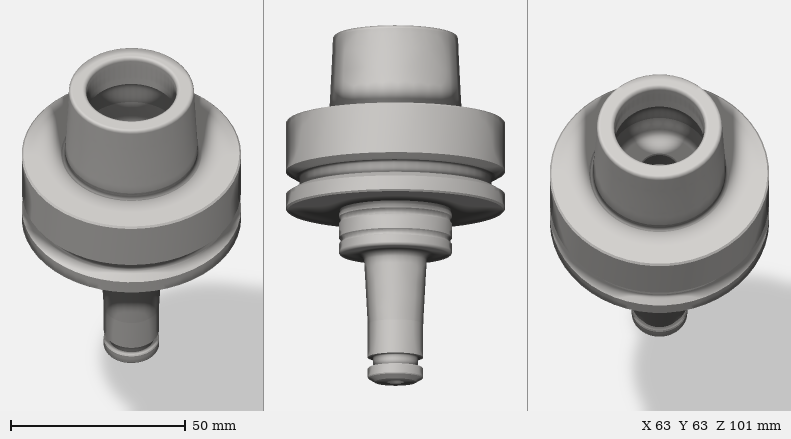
import cadquery as cq
import math

total_height = 101.0
flange_top_z = 76.0
flange_bottom_z = 50.1
boss_bottom_z = 37.1

taper_base_radius = 19.1
taper_base_z = 77.9
taper_slope = 1 / 20
taper_rim_fillet = 1.0
relief_radius = 38.0 / 2
relief_top_z = 77.2
relief_fillet = 0.7
recess_radius = 20.2
recess_rim_width = 0.4
recess_depth = 0.2

flange_radius = 63.0 / 2
flange_chamfer = 0.5
groove_floor_radius = 55.0 / 2
groove_ledge_radius = 28.8
groove_top_z = 59.8
groove_bottom_z = 56.2
groove_fillet = 0.5
groove_flank_angle = math.radians(30)
groove_flank_height = (flange_radius - groove_ledge_radius) * math.tan(groove_flank_angle)

boss_radius = 32.5 / 2
boss_fillet = 0.9
neck_radius = 32.0 / 2
neck_height = 1.2
ring_groove_heights = (47.1, 41.1)
ring_groove_width = 1.9
ring_groove_chamfer = 0.3
ring_groove_depth = 0.5

shank_radius = 16.0 / 2
shank_cone_bottom_z = 16.9
shank_cone_top_z = 35.2
shank_cone_top_radius = 9.0
shank_fillet = boss_bottom_z - shank_cone_top_z
pin_groove_radius = 13.0 / 2
pin_groove_bottom_z = 4.1
pin_groove_top_z = 7.2
pin_groove_fillet = 0.3
collar_chamfer = 0.3
foot_radius = 12.0 / 2
foot_cone_height = 1.1

bore_radius = 26.0 / 2
bore_mouth_fillet = 1.1
chamber_radius = 14.5
chamber_top_z = 91.0
chamber_cone_top_z = 82.5
chamber_cone_angle = math.radians(15)
chamber_floor_radius = 11.7
chamber_floor_fillet = 1.7
socket_radius = 11.4 / 2
socket_mouth_radius = 12.0 / 2
socket_depth = 5.0
drill_radius = 10.0 / 2
drill_depth = 10.1
drill_tip_angle = math.radians(118)
through_hole_radius = 5.0 / 2


def revolve(profile):
    """Close a half profile drawn in radius and height and turn it about the Z axis."""
    return profile.close().revolve(360, (0, 0, 0), (0, 1, 0))


def half_profile(bottom_z):
    return cq.Workplane("XZ").moveTo(0, bottom_z)


def make_taper():
    rim_z = total_height - taper_rim_fillet
    rim_radius = taper_base_radius - (rim_z - taper_base_z) * taper_slope
    return revolve(
        half_profile(flange_bottom_z)
        .lineTo(relief_radius, flange_bottom_z)
        .lineTo(relief_radius, relief_top_z)
        .lineTo(taper_base_radius, taper_base_z)
        .lineTo(rim_radius, rim_z)
        .radiusArc((rim_radius - taper_rim_fillet, total_height), -taper_rim_fillet)
        .lineTo(0, total_height)
    )


def make_flange():
    r = flange_radius
    floor = groove_floor_radius
    ledge = groove_ledge_radius
    fillet = groove_fillet
    recess_floor_z = flange_top_z - recess_depth
    return revolve(
        half_profile(flange_bottom_z)
        .lineTo(r - flange_chamfer, flange_bottom_z)
        .lineTo(r, flange_bottom_z + flange_chamfer)
        .lineTo(r, groove_bottom_z - groove_flank_height)
        .lineTo(ledge, groove_bottom_z)
        .lineTo(floor + fillet, groove_bottom_z)
        .radiusArc((floor, groove_bottom_z + fillet), fillet)
        .lineTo(floor, groove_top_z - fillet)
        .radiusArc((floor + fillet, groove_top_z), fillet)
        .lineTo(ledge, groove_top_z)
        .lineTo(r, groove_top_z + groove_flank_height)
        .lineTo(r, flange_top_z - flange_chamfer)
        .lineTo(r - flange_chamfer, flange_top_z)
        .lineTo(recess_radius, flange_top_z)
        .lineTo(recess_radius - recess_rim_width, recess_floor_z)
        .lineTo(relief_radius + relief_fillet, recess_floor_z)
        .radiusArc((relief_radius, recess_floor_z + relief_fillet), relief_fillet)
        .lineTo(0, recess_floor_z + relief_fillet)
    )


def make_boss():
    return revolve(
        half_profile(boss_bottom_z)
        .lineTo(boss_radius - boss_fillet, boss_bottom_z)
        .radiusArc((boss_radius, boss_bottom_z + boss_fillet), -boss_fillet)
        .lineTo(boss_radius, flange_bottom_z - neck_height)
        .threePointArc(
            (neck_radius, flange_bottom_z - neck_height / 2),
            (neck_radius, flange_bottom_z),
        )
        .lineTo(0, flange_bottom_z)
    )


def make_ring_groove_cutter(middle_z):
    """Ring that cuts a groove with chamfered lips and a rounded floor into the boss."""
    half_width = ring_groove_width / 2
    lip_radius = boss_radius - ring_groove_chamfer
    lip_half_width = half_width - ring_groove_chamfer
    return revolve(
        cq.Workplane("XZ")
        .moveTo(boss_radius, middle_z - half_width)
        .lineTo(boss_radius, middle_z + half_width)
        .lineTo(lip_radius, middle_z + lip_half_width)
        .threePointArc(
            (boss_radius - ring_groove_depth, middle_z),
            (lip_radius, middle_z - lip_half_width),
        )
    )


def make_shank():
    r = shank_radius
    chamfer = collar_chamfer
    neck_fillet = pin_groove_fillet
    return revolve(
        half_profile(0)
        .lineTo(foot_radius, 0)
        .lineTo(r - chamfer / 2, foot_cone_height)
        .lineTo(r, foot_cone_height + chamfer)
        .lineTo(r, pin_groove_bottom_z - chamfer)
        .lineTo(r - chamfer, pin_groove_bottom_z)
        .lineTo(pin_groove_radius, pin_groove_bottom_z)
        .lineTo(pin_groove_radius, pin_groove_top_z - neck_fillet)
        .radiusArc((pin_groove_radius + neck_fillet, pin_groove_top_z), neck_fillet)
        .lineTo(r, pin_groove_top_z)
        .lineTo(r, shank_cone_bottom_z)
        .lineTo(shank_cone_top_radius, shank_cone_top_z)
        .radiusArc((shank_cone_top_radius + shank_fillet, boss_bottom_z), shank_fillet)
        .lineTo(0, boss_bottom_z)
    )


def make_bore():
    """Cavity of the taper, the stepped socket in its floor and the hole through the shank."""
    fillet = chamber_floor_fillet
    fillet_top_radius = chamber_floor_radius + fillet * math.cos(chamber_cone_angle)
    cone_height = (chamber_radius - fillet_top_radius) / math.tan(chamber_cone_angle)
    fillet_top_z = chamber_cone_top_z - cone_height
    floor_z = fillet_top_z - fillet * (1 - math.sin(chamber_cone_angle))

    socket_bottom_z = floor_z - socket_depth
    socket_chamfer = socket_mouth_radius - socket_radius
    drill_bottom_z = floor_z - drill_depth
    drill_tip_height = (drill_radius - through_hole_radius) / math.tan(drill_tip_angle / 2)
    return revolve(
        half_profile(0)
        .lineTo(through_hole_radius, 0)
        .lineTo(through_hole_radius, drill_bottom_z - drill_tip_height)
        .lineTo(drill_radius, drill_bottom_z)
        .lineTo(drill_radius, socket_bottom_z)
        .lineTo(socket_radius, socket_bottom_z)
        .lineTo(socket_radius, floor_z - socket_chamfer)
        .lineTo(socket_mouth_radius, floor_z)
        .lineTo(chamber_floor_radius, floor_z)
        .radiusArc((fillet_top_radius, fillet_top_z), -fillet)
        .lineTo(chamber_radius, chamber_cone_top_z)
        .lineTo(chamber_radius, chamber_top_z)
        .lineTo(bore_radius, chamber_top_z)
        .lineTo(bore_radius, total_height - bore_mouth_fillet)
        .radiusArc((bore_radius + bore_mouth_fillet, total_height), bore_mouth_fillet)
        .lineTo(0, total_height)
    )


body = make_shank().union(make_boss()).union(make_flange()).union(make_taper())
for groove_z in ring_groove_heights:
    body = body.cut(make_ring_groove_cutter(groove_z))

result = body.cut(make_bore())